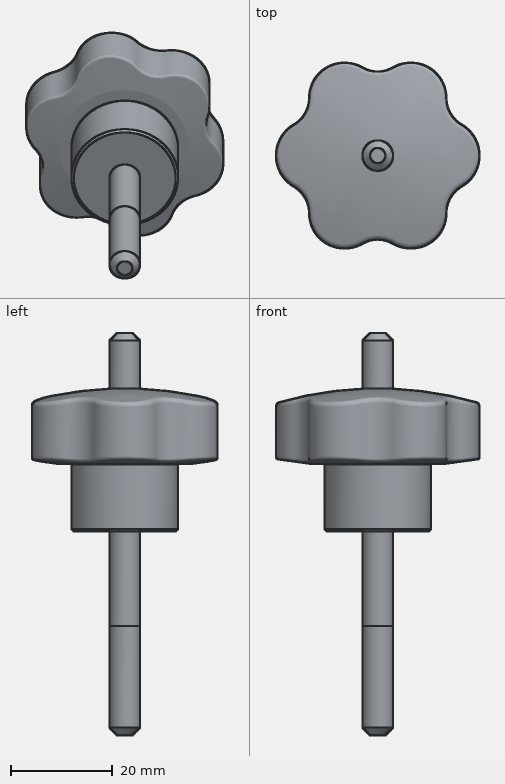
import cadquery as cq
import math

ROD_DIAMETER = 6.0
ROD_CHAMFER = 1.5
ROD_PROJECTION = 10.9
TIP_ROD_LENGTH = 21.5

HUB_DIAMETER = 21.0
HUB_HEIGHT = 13.1
HUB_CHAMFER = 0.5

LOBE_COUNT = 6
HEAD_HEIGHT = 15.0
HEAD_RADIUS = 20.0
LOBE_RADIUS = 7.0
VALLEY_RADIUS = 6.0
DOME_RADIUS = 70.0
UNDERSIDE_FLAT_DIAMETER = 25.44
UNDERSIDE_RISE = 1.0
SEAT_HEIGHT = 0.1
BLANK_MARGIN = 2.0
UPPER_RIM_FILLET = 1.0
LOWER_RIM_FILLET = 0.5

TOTAL_HEIGHT = 79.05
HEAD_BOTTOM = HUB_HEIGHT
UNDERSIDE_FLAT = HEAD_BOTTOM + SEAT_HEIGHT
HEAD_TOP = HEAD_BOTTOM + HEAD_HEIGHT
ROD_TOP = HEAD_TOP + ROD_PROJECTION
ROD_BOTTOM = ROD_TOP - TOTAL_HEIGHT
ROD_JOINT = ROD_BOTTOM + TIP_ROD_LENGTH


def polar_point(radius, angle):
    return radius * math.cos(angle), radius * math.sin(angle)


def cylinder(diameter, bottom, top):
    return cq.Workplane("XY", origin=(0, 0, bottom)).circle(diameter / 2).extrude(top - bottom)


def lobed_prism():
    """Convex lobes joined by tangent concave valleys, extruded from the underside flat to the crown."""
    half_pitch = math.pi / LOBE_COUNT
    lobe_centre = HEAD_RADIUS - LOBE_RADIUS
    centre_distance = LOBE_RADIUS + VALLEY_RADIUS
    half_chord = lobe_centre * math.sin(half_pitch)
    valley_centre = lobe_centre * math.cos(half_pitch) + math.sqrt(centre_distance**2 - half_chord**2)
    valley_floor = valley_centre - VALLEY_RADIUS

    valley_x, valley_y = polar_point(valley_centre, half_pitch)
    lobe_share = LOBE_RADIUS / centre_distance
    tangent_x = lobe_centre + lobe_share * (valley_x - lobe_centre)
    tangent_y = lobe_share * valley_y
    tangent_radius = math.hypot(tangent_x, tangent_y)
    tangent_angle = math.atan2(tangent_y, tangent_x)

    outline = cq.Workplane("XY", origin=(0, 0, UNDERSIDE_FLAT))
    outline = outline.moveTo(*polar_point(tangent_radius, -tangent_angle))
    for lobe in range(LOBE_COUNT):
        lobe_angle = 2 * half_pitch * lobe
        next_lobe_angle = lobe_angle + 2 * half_pitch
        outline = outline.threePointArc(
            polar_point(HEAD_RADIUS, lobe_angle),
            polar_point(tangent_radius, lobe_angle + tangent_angle),
        )
        outline = outline.threePointArc(
            polar_point(valley_floor, lobe_angle + half_pitch),
            polar_point(tangent_radius, next_lobe_angle - tangent_angle),
        )
    return outline.close().extrude(HEAD_TOP - UNDERSIDE_FLAT)


def dome_envelope():
    """Turned blank, wider than the lobes, with a spherical crown and a coned underside."""
    blank_radius = HEAD_RADIUS + BLANK_MARGIN
    flat_radius = UNDERSIDE_FLAT_DIAMETER / 2
    underside_slope = UNDERSIDE_RISE / (HEAD_RADIUS - flat_radius)
    blank_rise = underside_slope * (blank_radius - flat_radius)

    def crown_point(radius):
        drop = DOME_RADIUS - math.sqrt(DOME_RADIUS**2 - radius**2)
        return radius, HEAD_TOP - drop

    profile = (
        cq.Workplane("XZ")
        .moveTo(0, UNDERSIDE_FLAT)
        .lineTo(flat_radius, UNDERSIDE_FLAT)
        .lineTo(blank_radius, UNDERSIDE_FLAT + blank_rise)
        .lineTo(*crown_point(blank_radius))
        .threePointArc(crown_point(blank_radius / 2), crown_point(0))
        .close()
    )
    return profile.revolve(360, (0, 0, 0), (0, 1, 0))


def make_head():
    """Lobed head with rounded upper and lower rims, bored for the rod."""
    head = lobed_prism().intersect(dome_envelope())
    head = head.faces(">Z").edges().fillet(UPPER_RIM_FILLET)
    head = head.faces("%CONE").edges("not %CIRCLE").fillet(LOWER_RIM_FILLET)
    head = head.union(cylinder(HUB_DIAMETER, HEAD_BOTTOM, UNDERSIDE_FLAT))
    return head.cut(cylinder(ROD_DIAMETER, HEAD_BOTTOM, HEAD_TOP))


def make_hub():
    """Plain collar under the head, bored for the rod."""
    hub = cylinder(HUB_DIAMETER, 0, HUB_HEIGHT).faces("<Z").edges().chamfer(HUB_CHAMFER)
    return hub.cut(cylinder(ROD_DIAMETER, 0, HUB_HEIGHT))


def make_main_rod():
    """Upper rod, running from the joint up through the hub and head."""
    return cylinder(ROD_DIAMETER, ROD_JOINT, ROD_TOP).faces(">Z").edges().chamfer(ROD_CHAMFER)


def make_tip_rod():
    """Lower rod, continuing the main rod down to a chamfered tip."""
    return cylinder(ROD_DIAMETER, ROD_BOTTOM, ROD_JOINT).faces("<Z").edges().chamfer(ROD_CHAMFER)


head = make_head()
hub = make_hub()
main_rod = make_main_rod()
tip_rod = make_tip_rod()

result = cq.Compound.makeCompound([head.val(), hub.val(), main_rod.val(), tip_rod.val()])